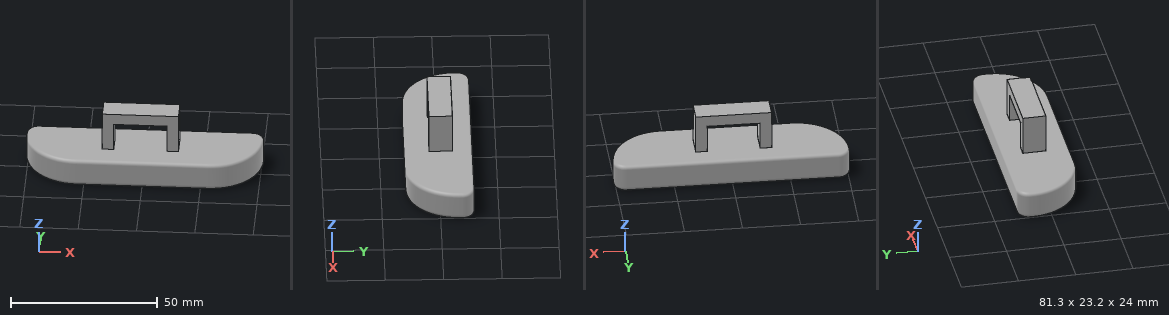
import cadquery as cq
import math

base_length = 81.3
base_width = 23.2
base_height = 10.0
rear_radius = 4.0
front_radius = 18.05
edge_radius = 1.5

handle_length = 26.2
handle_width = 8.05
total_height = 24.0
bar_thickness = 4.1
post_length = 4.0
handle_left = 26.5
handle_front = 8.3
post_height = total_height - base_height - bar_thickness


def point_on_circle(center, radius, angle):
    """Point at an angle, in radians, counted from the +X direction."""
    return (center[0] + radius * math.cos(angle), center[1] + radius * math.sin(angle))


def make_base():
    """Plate with a short flat on the right end and smoothly joined arcs on the left end."""
    rear_center_y = base_width - rear_radius
    left_front_center = (front_radius, front_radius)
    right_front_center = (base_length - front_radius, front_radius)
    right_rear_center = (base_length - rear_radius, rear_center_y)

    center_rise = rear_center_y - front_radius
    center_distance = front_radius - rear_radius
    join_angle = math.pi - math.asin(center_rise / center_distance)
    left_rear_center = point_on_circle(left_front_center, center_distance, join_angle)
    left_join = point_on_circle(left_front_center, front_radius, join_angle)
    left_rear_middle = point_on_circle(left_rear_center, rear_radius, (join_angle + math.pi / 2) / 2)
    left_front_middle = point_on_circle(left_front_center, front_radius, (join_angle + 1.5 * math.pi) / 2)

    right_front_middle = point_on_circle(right_front_center, front_radius, -math.pi / 4)
    right_rear_middle = point_on_circle(right_rear_center, rear_radius, math.pi / 4)

    plate = (
        cq.Workplane("XY")
        .moveTo(front_radius, 0)
        .lineTo(base_length - front_radius, 0)
        .threePointArc(right_front_middle, (base_length, front_radius))
        .lineTo(base_length, rear_center_y)
        .threePointArc(right_rear_middle, (base_length - rear_radius, base_width))
        .lineTo(left_rear_center[0], base_width)
        .threePointArc(left_rear_middle, left_join)
        .threePointArc(left_front_middle, (front_radius, 0))
        .close()
        .extrude(base_height)
    )
    return plate.faces("<Z or >Z").edges().fillet(edge_radius)


def handle_block(left, bottom, length, height):
    """Block as deep as the handle, placed by its left and bottom sides."""
    block = cq.Workplane("XY").box(length, handle_width, height, centered=False)
    return block.translate((left, handle_front, bottom))


def make_handle():
    """Two posts standing on the plate with a bar across their tops."""
    handle = handle_block(handle_left, base_height + post_height, handle_length, bar_thickness)
    for post_left in (handle_left, handle_left + handle_length - post_length):
        handle = handle.union(handle_block(post_left, base_height, post_length, post_height))
    return handle


result = make_base().union(make_handle())